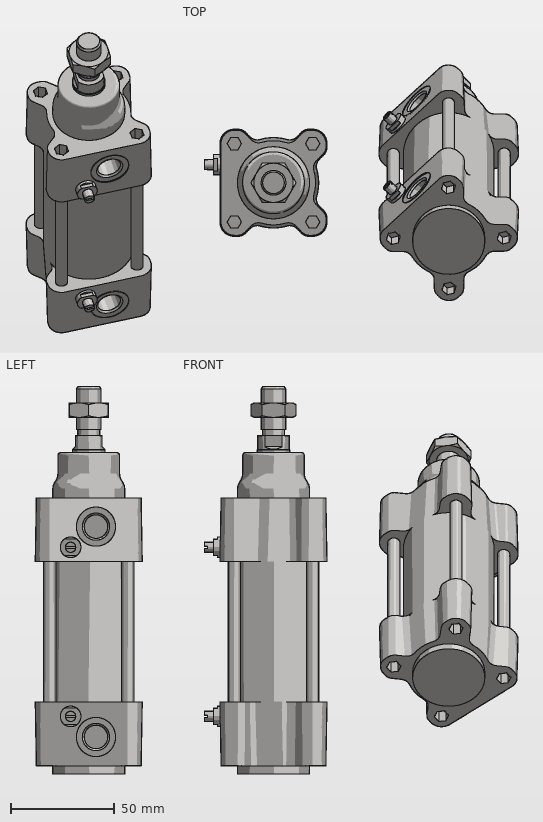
import cadquery as cq
import math


base_boss_height = 4.0
head_height = 31.0
tube_length = 68.0
collar_height = 22.0
total_height = 188.0
lower_head_bottom = base_boss_height
lower_head_top = lower_head_bottom + head_height
upper_head_bottom = lower_head_top + tube_length
upper_head_top = upper_head_bottom + head_height
collar_top = upper_head_top + collar_height
mid_height = (lower_head_top + upper_head_bottom) / 2

bolt_offset = 19.0
head_half_width = 26.0
draft_inset = head_height * math.tan(math.radians(1.0))
diagonal_offset = 10.9
bulge_radius = 22.0
bulge_inset = 1.6
shoulder_radius = 5.0
valley_radius = 5.0

tube_diameter = 44.0
tie_rod_diameter = 6.0
boss_diameter = 35.0
collar_diameter = 30.0
collar_base_height = 5.8
neck_cone_angle = 30.0
neck_blend_radius = 5.5
collar_edge_radius = 1.5

socket_across_flats = 6.0
socket_depth = 8.0

port_y = -3.5
port_height = 14.0
port_bore_diameter = 11.4
port_mouth_diameter = 13.2
port_depth = 12.0
spotface_diameter = 19.0
spotface_x = -25.3
port_chamfer = (port_mouth_diameter - port_bore_diameter) / 2

screw_y = 8.8
screw_height = 24.0
screw_tip_x = -33.5
screw_stem_diameter = 5.0
screw_flange_diameter = 10.0
screw_flange_length = 3.1
screw_across_flats = 8.0
screw_flat_length = 1.9
screw_slot_width = 1.0
screw_slot_depth = 1.4
screw_root_x = -24.0

rod_diameter = 16.0
rod_across_flats = 13.0
rod_shoulder = 164.2
rod_flat_bottom = 158.8
wrench_diameter = 15.5
wrench_bottom = 157.5
stud_diameter = 12.0
relief_diameter = 10.8
relief_height = 2.8
stud_tip_diameter = 10.5
stud_chamfer_height = 1.2

nut_across_flats = 19.0
nut_bottom = 173.0
nut_height = 7.0
nut_chamfer_angle = 30.0


def side_segments(half_width, flank_offset, bulge):
    """Segments of one lobed head side as (midpoint or None, end) in (along, outward) coordinates."""
    diagonal = math.sqrt(0.5)

    shoulder_along = half_width - flank_offset + shoulder_radius * math.tan(math.pi / 8)
    shoulder_center_out = half_width - shoulder_radius
    shoulder_start = (shoulder_along, half_width)
    shoulder_mid = (
        shoulder_along - shoulder_radius * math.sin(math.pi / 8),
        shoulder_center_out + shoulder_radius * math.cos(math.pi / 8),
    )
    shoulder_end = (
        shoulder_along - shoulder_radius * diagonal,
        shoulder_center_out + shoulder_radius * diagonal,
    )

    center_distance = bulge + valley_radius
    difference = flank_offset + valley_radius / diagonal
    total = math.sqrt(2 * center_distance**2 - difference**2)
    valley_along = (total - difference) / 2
    valley_out = (total + difference) / 2
    flank_angle = -math.pi / 4
    bulge_angle = math.atan2(-valley_out, -valley_along)
    mid_angle = (flank_angle + bulge_angle) / 2

    def valley_point(angle):
        return (
            valley_along + valley_radius * math.cos(angle),
            valley_out + valley_radius * math.sin(angle),
        )

    valley_start = valley_point(flank_angle)
    valley_mid = valley_point(mid_angle)
    valley_end = valley_point(bulge_angle)

    def mirror(point):
        return (-point[0], point[1])

    return [
        (None, mirror(shoulder_start)),
        (mirror(shoulder_mid), mirror(shoulder_end)),
        (None, mirror(valley_start)),
        (mirror(valley_mid), mirror(valley_end)),
        ((0, bulge), valley_end),
        (valley_mid, valley_start),
        (None, shoulder_end),
        (shoulder_mid, shoulder_start),
        (None, (bolt_offset, half_width)),
    ]


def add_head_outline(plane, inset, bulge):
    """Draw the head outline: a flat port side at -X and three lobed sides."""
    half_width = head_half_width - inset
    flank_offset = diagonal_offset - inset * math.sqrt(2)
    corner_radius = half_width - bolt_offset
    corner_mid = bolt_offset + corner_radius * math.sqrt(0.5)
    side = side_segments(half_width, flank_offset, bulge)

    outline = plane.moveTo(-half_width, -bolt_offset)
    outline = outline.threePointArc((-corner_mid, -corner_mid), (-bolt_offset, -half_width))
    for along_x, along_y in [(1, 0), (0, 1), (-1, 0)]:

        def place(along, out):
            return (along * along_x + out * along_y, along * along_y - out * along_x)

        for mid, end in side:
            if mid is None:
                outline = outline.lineTo(*place(*end))
            else:
                outline = outline.threePointArc(place(*mid), place(*end))
        outline = outline.threePointArc(
            place(corner_mid, corner_mid), place(half_width, bolt_offset)
        )
    return outline.close()


def make_cushion_screw(z):
    """Slotted screw with a two-flat flange, pointing to -X."""
    flange_x = -head_half_width - screw_flange_length
    center = (0, screw_y, z)
    flange = (
        cq.Workplane("YZ", origin=(flange_x, screw_y, z))
        .circle(screw_flange_diameter / 2)
        .extrude(screw_root_x - flange_x)
    )
    beyond_flats = (
        cq.Workplane("XY", origin=center)
        .box(screw_flat_length, screw_flange_diameter, 2 * screw_flange_diameter)
        .cut(
            cq.Workplane("XY", origin=center)
            .box(screw_flat_length, screw_flange_diameter, screw_across_flats)
        )
        .translate((flange_x + screw_flat_length / 2, 0, 0))
    )
    stem = (
        cq.Workplane("YZ", origin=(screw_tip_x, screw_y, z))
        .circle(screw_stem_diameter / 2)
        .extrude(flange_x - screw_tip_x)
    )
    slot = (
        cq.Workplane("XY", origin=(screw_tip_x + screw_slot_depth / 2, screw_y, z))
        .box(screw_slot_depth, screw_flange_diameter, screw_slot_width)
    )
    return flange.cut(beyond_flats).union(stem.cut(slot))


def cut_port(head, z):
    """Spotfaced and countersunk blind air port entering from -X."""
    spotface = (
        cq.Workplane("YZ", origin=(spotface_x, port_y, z))
        .circle(spotface_diameter / 2)
        .extrude(-head_half_width - spotface_x)
    )
    bore = (
        cq.Workplane("YZ", origin=(spotface_x, port_y, z))
        .circle(port_bore_diameter / 2)
        .extrude(port_depth)
    )
    countersink = cq.Workplane(
        cq.Solid.makeCone(
            port_mouth_diameter / 2,
            port_bore_diameter / 2,
            port_chamfer,
            cq.Vector(spotface_x, port_y, z),
            cq.Vector(1, 0, 0),
        )
    )
    return head.cut(spotface).cut(bore).cut(countersink)


def make_upper_head():
    """Drafted head with four screw sockets, an air port and a cushioning screw."""
    wide = add_head_outline(cq.Workplane("XY", origin=(0, 0, upper_head_bottom)), 0, bulge_radius)
    both = add_head_outline(
        wide.workplane(offset=head_height), draft_inset, bulge_radius - bulge_inset
    )
    head = both.loft(ruled=True)
    sockets = (
        cq.Workplane("XY", origin=(0, 0, upper_head_top))
        .rect(2 * bolt_offset, 2 * bolt_offset, forConstruction=True)
        .vertices()
        .polygon(6, 2 * socket_across_flats / math.sqrt(3))
        .extrude(-socket_depth)
    )
    head = cut_port(head.cut(sockets), upper_head_top - port_height)
    return head.union(make_cushion_screw(upper_head_top - screw_height))


def make_collar():
    """Turned collar on the upper head, with a coned and blended neck."""
    boss_radius = boss_diameter / 2
    collar_radius = collar_diameter / 2
    cone_height = (boss_radius - collar_radius) / math.tan(math.radians(neck_cone_angle))
    cone_bottom = upper_head_top + collar_base_height
    cone_top = cone_bottom + cone_height
    collar = (
        cq.Workplane("XZ")
        .moveTo(0, upper_head_top)
        .lineTo(boss_radius, upper_head_top)
        .lineTo(boss_radius, cone_bottom)
        .lineTo(collar_radius, cone_top)
        .lineTo(collar_radius, collar_top)
        .lineTo(0, collar_top)
        .close()
        .revolve(360, (0, 0, 0), (0, 1, 0))
    )
    margin = cone_height / 4
    cone_edges = cq.selectors.BoxSelector(
        (-boss_diameter, -boss_diameter, cone_bottom - margin),
        (boss_diameter, boss_diameter, cone_top + margin),
    )
    collar = collar.edges("%CIRCLE").edges(cone_edges).fillet(neck_blend_radius)
    return collar.faces(">Z").edges().fillet(collar_edge_radius)


def make_housing():
    """Two mirrored heads joined by the tube and tie rods, with base boss and bored collar."""
    upper_head = make_upper_head()
    lower_head = upper_head.mirror("XY", (0, 0, mid_height))
    tube = (
        cq.Workplane("XY", origin=(0, 0, lower_head_top))
        .circle(tube_diameter / 2)
        .extrude(tube_length)
    )
    tie_rods = (
        cq.Workplane("XY", origin=(0, 0, lower_head_top))
        .rect(2 * bolt_offset, 2 * bolt_offset, forConstruction=True)
        .vertices()
        .circle(tie_rod_diameter / 2)
        .extrude(tube_length)
    )
    boss = cq.Workplane("XY").circle(boss_diameter / 2).extrude(base_boss_height)
    rod_bore = (
        cq.Workplane("XY", origin=(0, 0, upper_head_bottom))
        .circle(rod_diameter / 2)
        .extrude(collar_top - upper_head_bottom)
    )
    housing = tube.union(lower_head).union(upper_head).union(tie_rods)
    return housing.union(boss).union(make_collar()).cut(rod_bore)


def make_piston_rod():
    """Stepped rod with a relieved, chamfered stud and two wrench flats that ramp out at 45 degrees."""
    relief_top = rod_shoulder + relief_height
    wrench_step = (rod_diameter - wrench_diameter) / 2
    rod = (
        cq.Workplane("XZ")
        .moveTo(0, upper_head_bottom)
        .lineTo(rod_diameter / 2, upper_head_bottom)
        .lineTo(rod_diameter / 2, wrench_bottom - wrench_step)
        .lineTo(wrench_diameter / 2, wrench_bottom)
        .lineTo(wrench_diameter / 2, rod_shoulder)
        .lineTo(relief_diameter / 2, rod_shoulder)
        .lineTo(relief_diameter / 2, relief_top)
        .lineTo(stud_diameter / 2, relief_top)
        .lineTo(stud_diameter / 2, total_height - stud_chamfer_height)
        .lineTo(stud_tip_diameter / 2, total_height)
        .lineTo(0, total_height)
        .close()
        .revolve(360, (0, 0, 0), (0, 1, 0))
    )
    flat_y = rod_across_flats / 2
    ramp = wrench_diameter / 2 - flat_y
    for side in (1, -1):
        flat = (
            cq.Workplane("YZ")
            .moveTo(side * flat_y, rod_shoulder)
            .lineTo(side * flat_y, rod_flat_bottom)
            .lineTo(side * (flat_y + ramp), rod_flat_bottom - ramp)
            .lineTo(side * (flat_y + ramp), rod_shoulder)
            .close()
            .extrude(wrench_diameter / 2, both=True)
        )
        rod = rod.cut(flat)
    return rod


def make_nut():
    """Hexagonal nut with corners along X, chamfered on both faces."""
    corner_radius = nut_across_flats / math.sqrt(3)
    face_radius = nut_across_flats / 2
    chamfer_height = (corner_radius - face_radius) * math.tan(math.radians(nut_chamfer_angle))
    nut = (
        cq.Workplane("XY", origin=(0, 0, nut_bottom))
        .polygon(6, 2 * corner_radius)
        .circle(stud_diameter / 2)
        .extrude(nut_height)
    )
    envelope = (
        cq.Workplane("XZ", origin=(0, 0, nut_bottom))
        .moveTo(0, 0)
        .lineTo(face_radius, 0)
        .lineTo(corner_radius, chamfer_height)
        .lineTo(corner_radius, nut_height - chamfer_height)
        .lineTo(face_radius, nut_height)
        .lineTo(0, nut_height)
        .close()
        .revolve(360, (0, 0, 0), (0, 1, 0))
    )
    return nut.intersect(envelope)


housing = make_housing()
piston_rod = make_piston_rod()
nut = make_nut()

result = cq.Compound.makeCompound([housing.val(), piston_rod.val(), nut.val()])